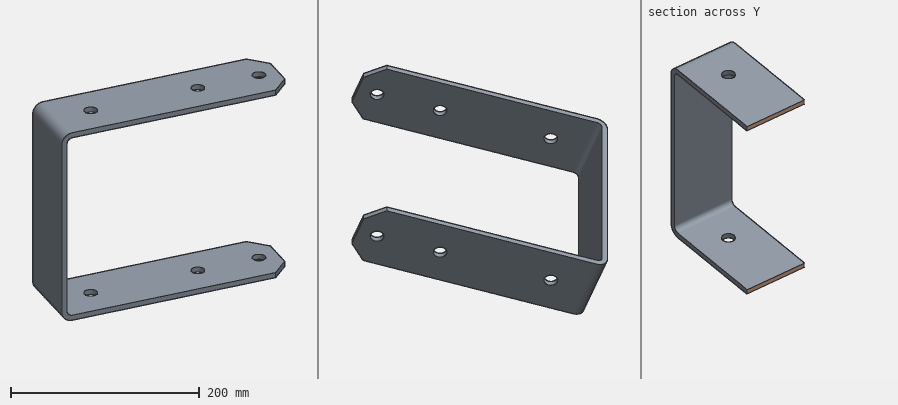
import cadquery as cq

width = 76.3
length = 266.7
height = 225.4

thickness = 6.1
inner_bend_radius = 6.1
outer_bend_radius = inner_bend_radius + thickness

corner_chamfer = 19.2
hole_diameter = 14.5
hole_distances_from_tip = (21.5, 92.3, 216.3)

tip_y = length / 2


def bent_strap():
    """Web with two arms, rounded at both bends."""
    outer = (
        cq.Workplane("XY")
        .box(width, length, height)
        .edges("|X and <Y")
        .fillet(outer_bend_radius)
    )
    inner = (
        cq.Workplane("XY")
        .box(width, length, height - 2 * thickness)
        .edges("|X and <Y")
        .fillet(inner_bend_radius)
        .translate((0, thickness, 0))
    )
    return outer.cut(inner)


def chamfer_arm_tips(strap):
    """Cut the outer corners of both arms at 45 degrees."""
    return strap.edges("|Z and >Y").chamfer(corner_chamfer)


def drill_arms(strap):
    """Drill the row of holes through both arms."""
    centres = [(0, tip_y - distance) for distance in hole_distances_from_tip]
    drills = (
        cq.Workplane("XY")
        .pushPoints(centres)
        .circle(hole_diameter / 2)
        .extrude(height, both=True)
    )
    return strap.cut(drills)


result = drill_arms(chamfer_arm_tips(bent_strap()))